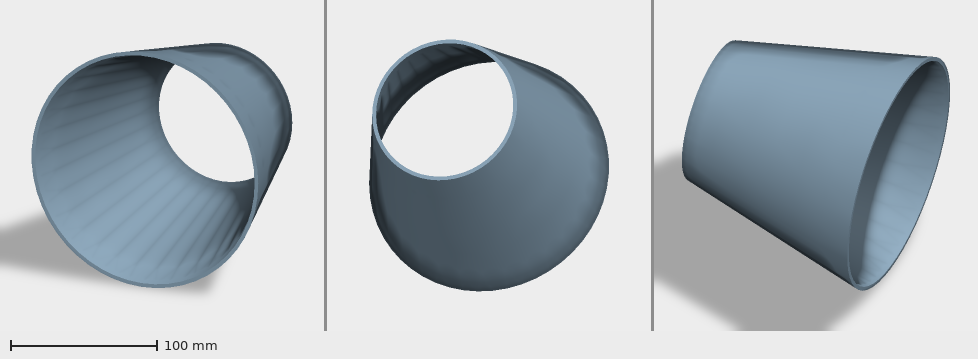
import cadquery as cq

large_diameter = 168.3
small_diameter = 101.7
length = 140.0
wall = 2.7

large_radius = large_diameter / 2
small_radius = small_diameter / 2

wall_section = (
    cq.Workplane("XY")
    .moveTo(large_radius, 0)
    .lineTo(small_radius, length)
    .lineTo(small_radius - wall, length)
    .lineTo(large_radius - wall, 0)
    .close()
)

result = wall_section.revolve(360, (0, 0, 0), (0, 1, 0))